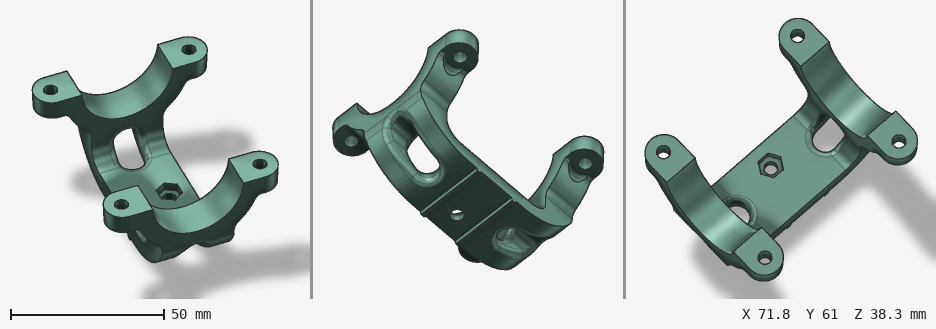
import cadquery as cq
import math

LENGTH = 71.75
WIDTH = 61.0
HEIGHT = 38.25

ARM_WIDTH = 12.55
BORE_RADIUS = 16.1
CRADLE_RADIUS = 22.2
BORE_AXIS_Z = 0.6
BLOCK_WIDTH = 25.4
TAB_FILLET = 2.5
BLOCK_FILLET = 5.0

TAB_THICKNESS = 6.95
TAB_TIP_LEAN = 0.3
BOLT_SPACING = 49.1
HOLE_DIAMETER = 4.5
SPOTFACE_RADIUS = 5.5
SPOTFACE_FILLET = 1.0

TOOTH_HEIGHT = 1.2
FLOOR_THICKNESS = 6.3
INNER_RADIUS = 6.45
OUTER_RADIUS = 25.5
ARC_CENTER_X = 12.55
HEEL_FILLET = 7.0

SLOT_WIDTH = 8.6
SLOT_END_X = 15.3
SLOT_TOP_Z = -22.25
SLOT_INNER_FILLET = 2.3
SLOT_OUTER_FILLET = 2.5

NUT_Y = 5.0
NUT_FLATS = 7.5
NUT_DEPTH = 3.0
TOOTH_SPACING = 16.4
TOOTH_ROOT = 2.3
TOOTH_TIP = 1.4

TOLERANCE = 0.1

half_length = LENGTH / 2
half_block = BLOCK_WIDTH / 2
inner_x = half_length - ARM_WIDTH
arm_x = half_length - ARM_WIDTH / 2
bottom_z = TOOTH_HEIGHT - HEIGHT
floor_z = bottom_z + FLOOR_THICKNESS
tab_end_y = WIDTH / 2 - ARM_WIDTH / 2
bolt_y = BOLT_SPACING / 2
arc_center_z = bottom_z + OUTER_RADIUS
heel_z = arc_center_z - math.sqrt(OUTER_RADIUS**2 - (half_length - ARC_CENTER_X) ** 2)


def box(x_size, y_size, z_low, z_high):
    """Box centred in X and Y between two heights."""
    return cq.Workplane("XY", origin=(0, 0, z_low)).rect(x_size, y_size).extrude(z_high - z_low)


def bridge_envelope():
    """Side profile in XZ: a U with rounded inner corners and large outer corner arcs."""
    across = 2 * WIDTH
    outer = (
        cq.Workplane("XZ")
        .moveTo(-half_length, 0)
        .lineTo(-half_length, heel_z)
        .radiusArc((-ARC_CENTER_X, bottom_z), -OUTER_RADIUS)
        .lineTo(ARC_CENTER_X, bottom_z)
        .radiusArc((half_length, heel_z), -OUTER_RADIUS)
        .lineTo(half_length, 0)
        .close()
        .extrude(across / 2, both=True)
    )
    heel_line = cq.selectors.BoxSelector(
        (-LENGTH, -across, heel_z - TOLERANCE), (LENGTH, across, heel_z + TOLERANCE)
    )
    outer = outer.edges(heel_line).fillet(HEEL_FILLET)
    opening = box(2 * inner_x, across, floor_z, -floor_z).edges("|Y and <Z").fillet(INNER_RADIUS)
    return outer.cut(opening)


def edges_near(y, z):
    """Selector for the pair of edges along X at +y and -y, at height z."""
    pair = [
        cq.selectors.BoxSelector(
            (-TOLERANCE, side * y - TOLERANCE, z - TOLERANCE),
            (TOLERANCE, side * y + TOLERANCE, z + TOLERANCE),
        )
        for side in (-1, 1)
    ]
    return pair[0] + pair[1]


def cradle_section():
    """End profile in YZ: cradle ring, straight part of the tabs and central block, blended together."""
    tab_y = tab_end_y - TAB_TIP_LEAN
    tab_joint_y = math.sqrt(CRADLE_RADIUS**2 - (TAB_THICKNESS + BORE_AXIS_Z) ** 2)
    block_joint_z = BORE_AXIS_Z - math.sqrt(CRADLE_RADIUS**2 - half_block**2)
    section = (
        cq.Workplane("YZ")
        .moveTo(-tab_y, 0)
        .lineTo(-tab_y, -TAB_THICKNESS)
        .lineTo(-tab_joint_y, -TAB_THICKNESS)
        .radiusArc((-half_block, block_joint_z), -CRADLE_RADIUS)
        .lineTo(-half_block, -HEIGHT)
        .lineTo(half_block, -HEIGHT)
        .lineTo(half_block, block_joint_z)
        .radiusArc((tab_joint_y, -TAB_THICKNESS), -CRADLE_RADIUS)
        .lineTo(tab_y, -TAB_THICKNESS)
        .lineTo(tab_y, 0)
        .close()
        .extrude(half_length, both=True)
    )
    section = section.edges(edges_near(tab_joint_y, -TAB_THICKNESS)).fillet(TAB_FILLET)
    section = section.edges(edges_near(half_block, block_joint_z)).fillet(BLOCK_FILLET)
    bore_plane = cq.Workplane("YZ", origin=(0, 0, BORE_AXIS_Z))
    bore = bore_plane.circle(BORE_RADIUS).extrude(half_length, both=True)
    return section.cut(bore)


def tab_tips():
    """Round tab ends, leaning slightly toward the bore from top to underside."""
    tips = []
    root_y = tab_end_y - ARM_WIDTH / 2
    for side in (-1, 1):
        lean = cq.Vector(0, -side * TAB_TIP_LEAN, -TAB_THICKNESS)
        for x in (-arm_x, arm_x):
            outline = (
                cq.Workplane("XY")
                .moveTo(x - ARM_WIDTH / 2, side * root_y)
                .lineTo(x - ARM_WIDTH / 2, side * tab_end_y)
                .threePointArc((x, side * WIDTH / 2), (x + ARM_WIDTH / 2, side * tab_end_y))
                .lineTo(x + ARM_WIDTH / 2, side * root_y)
                .close()
            )
            tips.append(cq.Solid.extrudeLinear(outline.val(), [], lean))
    return tips


def arch_outline(plane, tip):
    """Slot-width outline with a round tip on the plane's second axis, running far back from the tip."""
    radius = SLOT_WIDTH / 2
    spring = tip - radius
    return (
        cq.Workplane(plane)
        .moveTo(-radius, spring - LENGTH)
        .lineTo(-radius, spring)
        .threePointArc((0, tip), (radius, spring))
        .lineTo(radius, spring - LENGTH)
        .close()
    )


def corner_slot():
    """Cutter for the slot in the left corner: round end in plan and round top seen along X."""
    plan_plane = cq.Plane(origin=(0, 0, 0), xDir=(0, -1, 0), normal=(0, 0, 1))
    plan = arch_outline(plan_plane, -SLOT_END_X).extrude(LENGTH, both=True)
    profile = arch_outline("YZ", SLOT_TOP_Z).extrude(-LENGTH)
    return plan.intersect(profile)


def round_slot_rim(body, inner, radius):
    """Round the inner or outer rim of the left slot; the straight edges in the slot are seams, not rim."""
    reach = SLOT_WIDTH / 2 + TOLERANCE
    if inner:
        low = (-inner_x - TOLERANCE, -reach, floor_z - TOLERANCE)
    else:
        low = (-half_length, -reach, bottom_z)
    high = (-SLOT_END_X, reach, SLOT_TOP_Z)
    return body.edges(cq.selectors.BoxSelector(low, high)).edges("not %LINE").fillet(radius)


def bolt_cutters():
    """Bolt hole through each tab with a spotface that clears the arm below the tab."""
    points = [(x, y) for x in (-arm_x, arm_x) for y in (-bolt_y, bolt_y)]
    holes = cq.Workplane("XY").pushPoints(points).circle(HOLE_DIAMETER / 2).extrude(-HEIGHT / 2)
    spotfaces = (
        cq.Workplane("XY", origin=(0, 0, -TAB_THICKNESS))
        .pushPoints(points)
        .circle(SPOTFACE_RADIUS)
        .extrude(-HEIGHT / 2)
        .faces(">Z")
        .edges()
        .fillet(SPOTFACE_FILLET)
    )
    return holes.union(spotfaces)


def nut_cutter():
    """Through hole in the bridge floor with a hexagonal nut pocket on its upper face."""
    floor_plane = cq.Workplane("XY", origin=(0, NUT_Y, floor_z))
    pocket = floor_plane.polygon(6, NUT_FLATS / math.cos(math.pi / 6)).extrude(-NUT_DEPTH)
    hole = floor_plane.circle(HOLE_DIAMETER / 2).extrude(-HEIGHT)
    return pocket.union(hole)


def tooth(x):
    """Trapezoidal rib under the bridge, running the full block width."""
    corners = [
        (x - TOOTH_ROOT / 2, bottom_z),
        (x - TOOTH_TIP / 2, -HEIGHT),
        (x + TOOTH_TIP / 2, -HEIGHT),
        (x + TOOTH_ROOT / 2, bottom_z),
    ]
    return cq.Workplane("XZ").polyline(corners).close().extrude(half_block, both=True)


half_space = cq.Workplane("XY").box(LENGTH, 2 * WIDTH, 4 * HEIGHT).translate((-half_length, 0, 0))
left_half = bridge_envelope().intersect(cradle_section()).intersect(half_space)
left_half = left_half.cut(corner_slot())
left_half = round_slot_rim(left_half, True, SLOT_INNER_FILLET)
left_half = round_slot_rim(left_half, False, SLOT_OUTER_FILLET)
body = left_half.union(left_half.mirror("YZ"))

for tip in tab_tips():
    body = body.union(cq.Workplane(tip))
body = body.cut(bolt_cutters()).cut(nut_cutter())
for tooth_x in (-TOOTH_SPACING / 2, TOOTH_SPACING / 2):
    body = body.union(tooth(tooth_x))

result = body